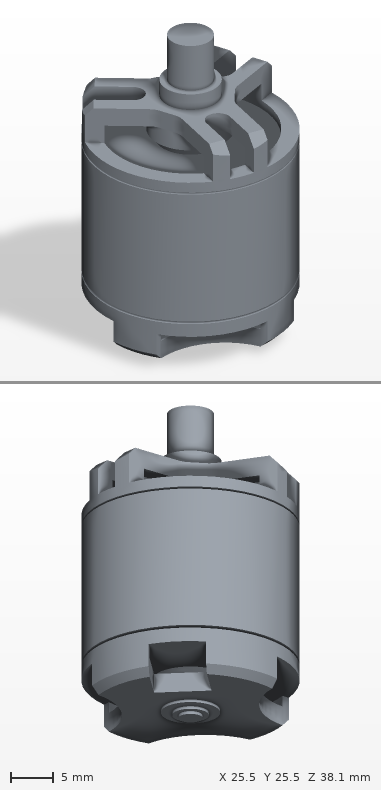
import cadquery as cq
import math


can_radius = 12.74
can_bottom = 6.73
can_top = 23.8

tip_radius = 1.4
tip_top = 0.35
washer_radius = 2.13
washer_top = 0.68
collar_radius = 3.45

base_bottom = 1.0
window_bottom = 3.35
window_top = 4.7
base_top = 6.4
base_chamfer = 0.95
base_hub_radius = 4.56
foot_inner_radius = 11.79
foot_half_width = 2.95
scallop_angles = (45, 225, 315)
notch_angle = 135
notch_floor = 6.05
notch_width = 6.75
notch_offset = 0.28

bell_bottom = 24.05
bell_floor = 24.3
rim_top = 25.4
rim_inner_radius = 10.6
arm_bottom = 27.7
bell_top = 30.0
bell_hub_radius = 5.15
bell_pedestal_radius = 4.2
arm_width = 7.23
arm_slot_width = 3.13
arm_slot_start = 5.22
arm_chamfer_start = 11.25
web_fillet = 2.6
arm_angles = (90, 210, 330)

neck_radius = 3.65
shoulder_top = 32.08
shaft_radius = 2.74
shaft_top = 38.06


def cylinder(radius, bottom, top):
    return cq.Workplane("XY").workplane(offset=bottom).circle(radius).extrude(top - bottom)


def block(x_start, x_end, y_start, y_end, bottom, top):
    size = (x_end - x_start, y_end - y_start, top - bottom)
    return cq.Workplane("XY").box(*size, centered=False).translate((x_start, y_start, bottom))


def turned(body, angle):
    """Turn a body about the shaft axis."""
    return body.rotate((0, 0, 0), (0, 0, 1), angle)


def make_scallop(angle):
    """Quarter-round cutter that meets the can outline at the corners of two neighbouring feet."""
    foot_reach = math.sqrt(can_radius**2 - foot_half_width**2)
    scallop_radius = foot_reach - foot_half_width
    scallop_distance = foot_reach * math.sqrt(2)
    cutter = cylinder(scallop_radius, base_bottom, window_top).translate((scallop_distance, 0, 0))
    return turned(cutter, angle)


def make_notch():
    """Straight cable notch between the two remaining feet."""
    near_side = -notch_offset - notch_width / 2
    far_side = -notch_offset + notch_width / 2
    cutter = block(notch_floor, 2 * can_radius, near_side, far_side, base_bottom, window_top)
    return turned(cutter, notch_angle)


def make_base():
    base = cylinder(can_radius, base_bottom, base_top).faces("<Z").chamfer(base_chamfer)
    window = cylinder(foot_inner_radius, window_bottom, window_top)
    window = window.cut(cylinder(base_hub_radius, window_bottom, window_top))
    base = base.cut(window)
    for angle in scallop_angles:
        base = base.cut(make_scallop(angle))
    return base.cut(make_notch())


def make_spider_blank():
    """Three radial arms joined by flats tangent to the hub, with the web corners rounded."""
    web_corner_distance = 2 * bell_hub_radius
    web = cq.Workplane("XY").polygon(3, 2 * web_corner_distance).extrude(bell_top - rim_top)
    spider = turned(web, arm_angles[0]).translate((0, 0, rim_top))
    for angle in arm_angles:
        arm = block(0, can_radius, -arm_width / 2, arm_width / 2, rim_top, bell_top)
        spider = spider.union(turned(arm, angle))
    spider = spider.intersect(cylinder(can_radius, rim_top, bell_top))
    zone_reach = math.hypot(bell_hub_radius, arm_width / 2)
    corner_zone = cq.selectors.BoxSelector(
        (-zone_reach, -zone_reach, rim_top),
        (zone_reach, zone_reach, bell_top),
    )
    return spider.edges("|Z").edges(corner_zone).fillet(web_fillet)


def make_arm_slot(angle):
    """Round-ended slot that splits an arm and runs out through its tip."""
    slot_centre = arm_slot_start + arm_slot_width / 2
    slot = cylinder(arm_slot_width / 2, arm_bottom, bell_top).translate((slot_centre, 0, 0))
    half_width = arm_slot_width / 2
    slot = slot.union(block(slot_centre, 2 * can_radius, -half_width, half_width, rim_top, bell_top))
    return turned(slot, angle)


def make_arm_chamfer(angle):
    """45 degree cutter for the top of an arm tip."""
    run = 2 * (can_radius - arm_chamfer_start)
    profile = [
        (arm_chamfer_start, bell_top),
        (arm_chamfer_start + run, bell_top),
        (arm_chamfer_start + run, bell_top - run),
    ]
    cutter = cq.Workplane("XZ").polyline(profile).close().extrude(arm_width, both=True)
    return turned(cutter, angle)


def make_bell():
    spider = make_spider_blank()
    for angle in arm_angles:
        spider = spider.cut(make_arm_slot(angle)).cut(make_arm_chamfer(angle))
    spider = spider.cut(cylinder(rim_inner_radius, rim_top, arm_bottom))
    plate = cylinder(can_radius, bell_bottom, rim_top)
    plate = plate.cut(cylinder(rim_inner_radius, bell_floor, rim_top))
    pedestal = cylinder(bell_pedestal_radius, bell_floor, rim_top)
    hub = cylinder(bell_hub_radius, rim_top, arm_bottom)
    return plate.union(pedestal).union(hub).union(spider)


def make_axle():
    """Coaxial turned parts that join the base, can and bell."""
    axle = cylinder(tip_radius, 0, tip_top)
    axle = axle.union(cylinder(washer_radius, tip_top, washer_top))
    axle = axle.union(cylinder(collar_radius, washer_top, base_bottom))
    axle = axle.union(cylinder(base_hub_radius, base_top, can_bottom))
    axle = axle.union(cylinder(neck_radius, can_top, bell_bottom))
    axle = axle.union(cylinder(neck_radius, bell_top, shoulder_top))
    return axle.union(cylinder(shaft_radius, shoulder_top, shaft_top))


can = cylinder(can_radius, can_bottom, can_top)
result = make_base().union(can).union(make_bell()).union(make_axle())